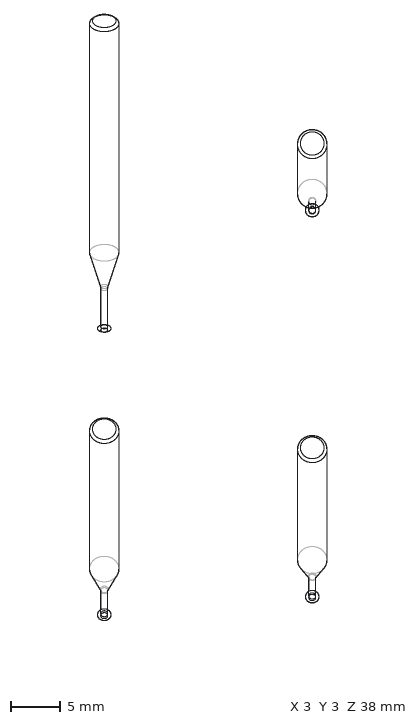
import cadquery as cq
import math

total_length = 38.0
shank_diameter = 3.0
shank_bottom = 9.5
chamfer_width = 0.3
chamfer_height = 0.3

neck_diameter = 0.71
taper_angle = math.radians(15)
blend_radius = 1.0

disc_diameter = 1.39
flank_angle = math.radians(30)

shank_radius = shank_diameter / 2
neck_radius = neck_diameter / 2
disc_radius = disc_diameter / 2

flank_height = (disc_radius - neck_radius) * math.tan(flank_angle)
rim_z = flank_height
disc_top = 2 * flank_height

taper_corner_z = shank_bottom - (shank_radius - neck_radius) / math.tan(taper_angle)
blend_bottom = taper_corner_z - blend_radius * math.tan(taper_angle / 2)


def blend_point(angle):
    """Point (radius, z) on the blend arc, at an angle up from its tangency with the neck."""
    return (
        neck_radius + blend_radius * (1 - math.cos(angle)),
        blend_bottom + blend_radius * math.sin(angle),
    )


def make_tool():
    """Revolve the half profile of the tool about the Z axis."""
    profile = (
        cq.Workplane("XZ")
        .lineTo(neck_radius, 0)
        .lineTo(disc_radius, rim_z)
        .lineTo(neck_radius, disc_top)
        .lineTo(neck_radius, blend_bottom)
        .threePointArc(blend_point(taper_angle / 2), blend_point(taper_angle))
        .lineTo(shank_radius, shank_bottom)
        .lineTo(shank_radius, total_length - chamfer_height)
        .lineTo(shank_radius - chamfer_width, total_length)
        .lineTo(0, total_length)
        .close()
    )
    return profile.revolve(360, (0, 0), (0, 1))


result = make_tool()